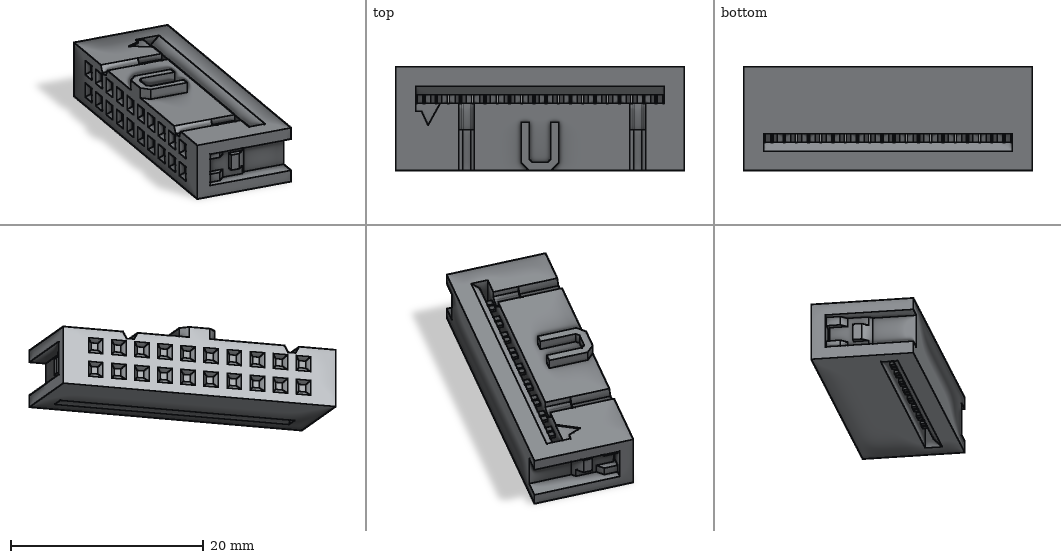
import cadquery as cq
import math


LENGTH = 30.0
DEPTH = 10.8
TOTAL_HEIGHT = 7.2
KEY_HEIGHT = 1.1
BODY_HEIGHT = TOTAL_HEIGHT - KEY_HEIGHT
FRONT_Y = -DEPTH / 2
REAR_Y = DEPTH / 2
MID_Z = BODY_HEIGHT / 2

COLUMNS = 10
PITCH = 2.54
ROW_Z = (MID_Z - PITCH / 2, MID_Z + PITCH / 2)
OPENING_WIDTH = 1.6
FUNNEL_DEPTH = 0.42
FUNNEL_FLOOR_WIDTH = OPENING_WIDTH - 2 * FUNNEL_DEPTH

SLOT_LENGTH = 25.8
SLOT_FRONT_Y = 1.6
THROAT_WIDTH = 0.87
LEAD_IN = 0.93
THROAT_REAR_Y = SLOT_FRONT_Y + THROAT_WIDTH

BLADE_WIDTH = 1.4
BLADE_THICKNESS = 0.3
BLADE_SLIT = 0.18
BLADE_OFFSET = PITCH / 4

MARK_DEPTH = 0.15
MARK_SHOULDER_Y = 0.75
MARK_SHOULDER_WIDTH = 0.6
MARK_TIP_X = 1.25
MARK_TIP_Y = -0.7
MARK_WIDTH = 2.52

GROOVE_X = (-3 * PITCH, 4 * PITCH)
GROOVE_WIDTH = 1.62
GROOVE_FLOOR_WIDTH = 0.8
GROOVE_DEPTH = 0.72
POCKET_FRONT_Y = -1.15
POCKET_WALL = 0.65
POCKET_CHAMFER = 0.27
POCKET_CORNER_RADIUS = 0.255

KEY_WIDTH = 3.9
KEY_REAR_Y = -0.4
KEY_ARM = 0.85
KEY_OUTER_CHAMFER = 0.8
KEY_INNER_CHAMFER = 0.33

RECESS_DEPTH = 1.8
RECESS_HEIGHT = 3.55
RECESS_FRONT_Y = -3.93
LEG_RAMP_Y = 0.8
LEG_DEPTH = 1.4
LATCH_HEIGHT = 1.7
TAB_FRONT_Y = -1.15
TAB_RISE = 0.63
STOP_RAMP_Y = -1.8
STOP_RISE = 0.65
GAP_WIDTH = 0.25


def column_x(column):
    """X of a contact column."""
    return (column - (COLUMNS - 1) / 2) * PITCH


def box(x_range, y_range, z_range):
    """Axis-aligned box between the given limits."""
    size = [high - low for low, high in (x_range, y_range, z_range)]
    corner = (x_range[0], y_range[0], z_range[0])
    return cq.Workplane("XY").box(*size, centered=False).translate(corner)


def funnel(x, z):
    """Tapered square opening in the mating face."""
    return (
        cq.Workplane("XZ", origin=(x, FRONT_Y, z))
        .rect(OPENING_WIDTH, OPENING_WIDTH)
        .workplane(offset=-FUNNEL_DEPTH)
        .rect(FUNNEL_FLOOR_WIDTH, FUNNEL_FLOOR_WIDTH)
        .loft(combine=True)
    )


def cable_slot():
    """Through slot along Z, flared at both ends."""
    flare_y = THROAT_REAR_Y + LEAD_IN
    outline = [
        (SLOT_FRONT_Y, 0),
        (flare_y, 0),
        (THROAT_REAR_Y, LEAD_IN),
        (THROAT_REAR_Y, BODY_HEIGHT - LEAD_IN),
        (flare_y, BODY_HEIGHT),
        (SLOT_FRONT_Y, BODY_HEIGHT),
    ]
    return cq.Workplane("YZ").polyline(outline).close().extrude(SLOT_LENGTH / 2, both=True)


def blade(x, z):
    """Contact blade across the throat, split in two by the slit for its wire."""
    middle = (x, SLOT_FRONT_Y + THROAT_WIDTH / 2, z)
    plate = cq.Workplane("XY").box(BLADE_WIDTH, THROAT_WIDTH, BLADE_THICKNESS)
    slit = cq.Workplane("XY").box(BLADE_SLIT, THROAT_WIDTH, BLADE_THICKNESS)
    return plate.cut(slit).translate(middle)


def first_contact_mark():
    """Shallow pointed recess at the -X end of the slot."""
    end_x = -SLOT_LENGTH / 2
    outline = [
        (end_x, SLOT_FRONT_Y),
        (end_x, MARK_SHOULDER_Y),
        (end_x + MARK_SHOULDER_WIDTH, MARK_SHOULDER_Y),
        (end_x + MARK_TIP_X, MARK_TIP_Y),
        (end_x + MARK_WIDTH, SLOT_FRONT_Y),
    ]
    top = cq.Workplane("XY", origin=(0, 0, BODY_HEIGHT))
    return top.polyline(outline).close().extrude(-MARK_DEPTH)


def groove(x):
    """Trapezoidal groove running from the mating face to the pocket."""
    half_top = GROOVE_WIDTH / 2
    half_floor = GROOVE_FLOOR_WIDTH / 2
    outline = [
        (-half_top, 0),
        (half_top, 0),
        (half_floor, -GROOVE_DEPTH),
        (-half_floor, -GROOVE_DEPTH),
    ]
    front = cq.Workplane("XZ", origin=(x, FRONT_Y, BODY_HEIGHT))
    return front.polyline(outline).close().extrude(FRONT_Y - POCKET_FRONT_Y)


def groove_pocket(x):
    """Deeper pocket from the groove to the slot, with chamfered and rounded bottom corners."""
    half_width = GROOVE_WIDTH / 2
    chamfer_x = half_width - POCKET_CHAMFER
    chamfer_z = -POCKET_WALL - POCKET_CHAMFER
    floor_x = chamfer_x - POCKET_CORNER_RADIUS * math.sin(math.pi / 4)
    floor_z = chamfer_z - POCKET_CORNER_RADIUS * (1 - math.cos(math.pi / 4))
    arc_x = floor_x + POCKET_CORNER_RADIUS * math.sin(math.pi / 8)
    arc_z = floor_z + POCKET_CORNER_RADIUS * (1 - math.cos(math.pi / 8))
    return (
        cq.Workplane("XZ", origin=(x, POCKET_FRONT_Y, BODY_HEIGHT))
        .moveTo(-half_width, 0)
        .lineTo(half_width, 0)
        .lineTo(half_width, -POCKET_WALL)
        .lineTo(chamfer_x, chamfer_z)
        .threePointArc((arc_x, arc_z), (floor_x, floor_z))
        .lineTo(-floor_x, floor_z)
        .threePointArc((-arc_x, arc_z), (-chamfer_x, chamfer_z))
        .lineTo(-half_width, -POCKET_WALL)
        .close()
        .extrude(POCKET_FRONT_Y - SLOT_FRONT_Y)
    )


def polarising_key():
    """U-shaped key, open towards the rear and flush with the mating face."""
    half = KEY_WIDTH / 2
    inner = half - KEY_ARM
    inner_y = FRONT_Y + KEY_ARM
    right_side = [
        (inner - KEY_INNER_CHAMFER, inner_y),
        (inner, inner_y + KEY_INNER_CHAMFER),
        (inner, KEY_REAR_Y),
        (half, KEY_REAR_Y),
        (half, FRONT_Y + KEY_OUTER_CHAMFER),
        (half - KEY_OUTER_CHAMFER, FRONT_Y),
    ]
    left_side = [(-x, y) for x, y in reversed(right_side)]
    top = cq.Workplane("XY", origin=(0, 0, BODY_HEIGHT))
    return top.polyline(right_side + left_side).close().extrude(KEY_HEIGHT)


def leg_profile(outline, height):
    """Prism with an XY outline, centred on the mid-height of the body."""
    base = cq.Workplane("XY", origin=(0, 0, MID_Z))
    return base.polyline(outline).close().extrude(height / 2, both=True)


def side_recess():
    """Everything to remove from the -X side; the clamp leg stays standing in the recess."""
    side_x = -LENGTH / 2
    floor_x = side_x + RECESS_DEPTH
    leg_x = side_x + LEG_DEPTH
    leg_y = LEG_RAMP_Y - (floor_x - leg_x)
    tab_ramp_y = leg_y - TAB_RISE
    stop_x = leg_x - STOP_RISE
    stop_y = STOP_RAMP_Y - STOP_RISE

    recess = leg_profile(
        [
            (side_x, REAR_Y),
            (floor_x, REAR_Y),
            (floor_x, LEG_RAMP_Y),
            (leg_x, leg_y),
            (leg_x, RECESS_FRONT_Y),
            (side_x, RECESS_FRONT_Y),
        ],
        RECESS_HEIGHT,
    )
    tab = leg_profile(
        [
            (leg_x, leg_y),
            (leg_x - TAB_RISE, tab_ramp_y),
            (leg_x - TAB_RISE, TAB_FRONT_Y),
            (leg_x, TAB_FRONT_Y),
        ],
        LATCH_HEIGHT,
    )
    stop_outline = [
        (leg_x, STOP_RAMP_Y),
        (stop_x, stop_y),
        (stop_x, RECESS_FRONT_Y),
        (leg_x, RECESS_FRONT_Y),
    ]
    stops = leg_profile(stop_outline, RECESS_HEIGHT).cut(leg_profile(stop_outline, LATCH_HEIGHT))
    gap = box(
        (leg_x, floor_x),
        (RECESS_FRONT_Y, RECESS_FRONT_Y + GAP_WIDTH),
        (MID_Z - LATCH_HEIGHT / 2, MID_Z + LATCH_HEIGHT / 2),
    )
    return recess.cut(tab).cut(stops).union(gap)


result = box((-LENGTH / 2, LENGTH / 2), (FRONT_Y, REAR_Y), (0, BODY_HEIGHT))
result = result.cut(cable_slot())
result = result.cut(first_contact_mark())
result = result.union(polarising_key())

for groove_x in GROOVE_X:
    result = result.cut(groove(groove_x)).cut(groove_pocket(groove_x))

for row_z, blade_shift in zip(ROW_Z, (BLADE_OFFSET, -BLADE_OFFSET)):
    for column in range(COLUMNS):
        result = result.cut(funnel(column_x(column), row_z))
        result = result.union(blade(column_x(column) + blade_shift, row_z))

left_recess = side_recess()
result = result.cut(left_recess).cut(left_recess.mirror("YZ"))